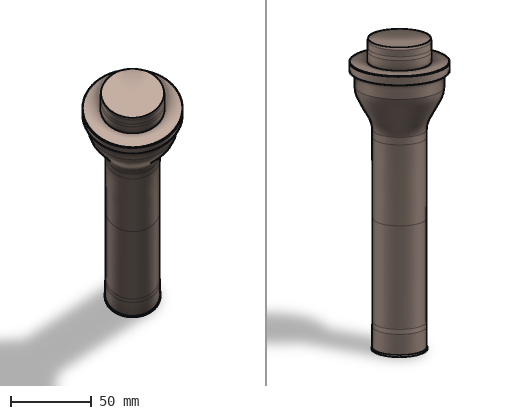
import cadquery as cq

FLANGE_DIAMETER = 62.5
COLLAR_DIAMETER = 56.0
SPIGOT_DIAMETER = 39.99
SPIGOT_TIP_DIAMETER = 39.7
SHANK_DIAMETER = 34.12
NECK_DIAMETER = 33.77

TOTAL_LENGTH = 202.99
SPIGOT_TOP = 15.0
SPIGOT_TAPER_TOP = 9.2
SPIGOT_TAPER_BOTTOM = 6.8
FLANGE_BOTTOM = -6.3
COLLAR_BOTTOM = -15.9
BELL_BOTTOM = -44.0
SHANK_BOTTOM = -48.9
NECK_TOP = -101.5
NECK_BOTTOM = -168.7
SEAT_TOP = -171.8
HEAD_SEAT = -185.4
HEAD_TIP = SPIGOT_TOP - TOTAL_LENGTH

SPIGOT_CHAMFER_WIDTH = 0.4
SPIGOT_CHAMFER_HEIGHT = 1.5
FLANGE_CHAMFER = 0.5

COLLAR_FILLET = 0.3

BELL_UPPER_REACH = 10.5
BELL_LOWER_REACH = 10.0

HEAD_FLARE_WIDTH = 0.5
HEAD_FLARE_HEIGHT = 0.9
HEAD_DOME_REACH = 21.0


def make_holder():
    """Revolved holder: spigot, flange, collar, bell and long shank."""
    spigot_radius = SPIGOT_DIAMETER / 2
    spigot_tip_radius = SPIGOT_TIP_DIAMETER / 2
    flange_radius = FLANGE_DIAMETER / 2
    collar_radius = COLLAR_DIAMETER / 2
    shank_radius = SHANK_DIAMETER / 2
    neck_radius = NECK_DIAMETER / 2
    profile = (
        cq.Workplane("XZ")
        .moveTo(0, SPIGOT_TOP)
        .lineTo(spigot_tip_radius - SPIGOT_CHAMFER_WIDTH, SPIGOT_TOP)
        .lineTo(spigot_tip_radius, SPIGOT_TOP - SPIGOT_CHAMFER_HEIGHT)
        .lineTo(spigot_tip_radius, SPIGOT_TAPER_TOP)
        .lineTo(spigot_radius, SPIGOT_TAPER_BOTTOM)
        .lineTo(spigot_radius, 0)
        .lineTo(flange_radius - FLANGE_CHAMFER, 0)
        .lineTo(flange_radius, -FLANGE_CHAMFER)
        .lineTo(flange_radius, FLANGE_BOTTOM + FLANGE_CHAMFER)
        .lineTo(flange_radius - FLANGE_CHAMFER, FLANGE_BOTTOM)
        .lineTo(collar_radius + COLLAR_FILLET, FLANGE_BOTTOM)
        .radiusArc((collar_radius, FLANGE_BOTTOM - COLLAR_FILLET), -COLLAR_FILLET)
        .lineTo(collar_radius, COLLAR_BOTTOM)
        .bezier(
            [
                (collar_radius, COLLAR_BOTTOM),
                (collar_radius, COLLAR_BOTTOM - BELL_UPPER_REACH),
                (shank_radius, BELL_BOTTOM + BELL_LOWER_REACH),
                (shank_radius, BELL_BOTTOM),
            ]
        )
        .lineTo(shank_radius, SHANK_BOTTOM)
        .lineTo(neck_radius, NECK_TOP)
        .lineTo(neck_radius, NECK_BOTTOM)
        .lineTo(shank_radius, SEAT_TOP)
        .lineTo(shank_radius, HEAD_SEAT)
        .lineTo(0, HEAD_SEAT)
        .close()
    )
    return profile.revolve(360, (0, 0, 0), (0, 1, 0))


def make_head():
    """Revolved cutting head: slightly flared rim rounding into a shallow dome."""
    seat_radius = SHANK_DIAMETER / 2
    profile = (
        cq.Workplane("XZ")
        .moveTo(0, HEAD_SEAT)
        .lineTo(seat_radius, HEAD_SEAT)
        .bezier(
            [
                (seat_radius, HEAD_SEAT),
                (seat_radius + HEAD_FLARE_WIDTH, HEAD_SEAT - HEAD_FLARE_HEIGHT),
                (HEAD_DOME_REACH, HEAD_TIP),
                (0, HEAD_TIP),
            ]
        )
        .close()
    )
    return profile.revolve(360, (0, 0, 0), (0, 1, 0))


holder = make_holder()
head = make_head()
result = cq.Compound.makeCompound([holder.val(), head.val()])